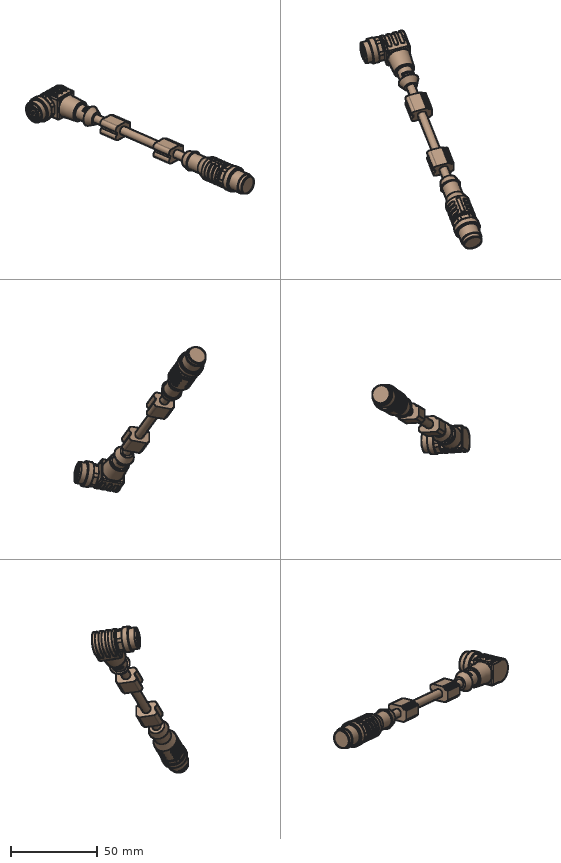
import cadquery as cq
import math


total_length = 157.1
cable_diameter = 5.2

ring_diameter = 15.0
ring_length = 4.0
ring_chamfer = 0.3
hex_across_flats = 13.2
hex_corner_diameter = 14.1
hex_length = 3.0
nut_gap = 1.0
nut_neck_diameter = 8.8

left_end = -ring_diameter / 2
right_end = left_end + total_length

elbow_height = 14.3
elbow_back = 7.0
elbow_front = -7.0
elbow_end = 8.8
elbow_round_chamfer = 0.5
elbow_flat_chamfer = 1.0
elbow_end_chamfer = 0.8
elbow_grip_depth = 0.6
elbow_slot_width = 2.2
elbow_slot_pitch = 4.0
elbow_slot_end = 5.2

socket_sleeve_diameter = 12.7
socket_sleeve_length = 3.6
socket_mouth_diameter = 11.8
socket_step_diameter = 10.5
socket_bore_diameter = 10.2
socket_mouth_depth = 0.5
socket_bore_depth = 1.9
insert_diameter = 8.3
insert_projection = 0.86
insert_chamfer = 0.24
key_diameter = 1.3
contact_diameter = 0.8
centre_contact_diameter = 0.9
contact_circle_diameter = 5.5
contact_depth = 3.1
contact_entry_diameter = 1.3
contact_entry_depth = 0.3
outer_contacts = 7

barrel_end = 19.6
barrel_start_diameter = 13.7
barrel_end_diameter = 12.1
barrel_edge = 0.3
relief_diameter = 9.3
relief_end = 27.2
relief_slot_start = 23.7
relief_slot_width = 1.1
relief_slot_floor = 3.5
flare_diameter = 12.1
flare_lip = 0.2
flare_end = 31.5
flare_end_diameter = 7.7

clip_starts = (40.4, 81.7)
clip_length = 12.1
clip_half_height = 4.7
clip_half_width = 6.3

boot_start = 102.5
boot_start_diameter = 9.5
boot_lip = 106.8
boot_lip_diameter = 12.1
boot_waist_diameter = 10.2
boot_waist_end = 115.0
plug_body_start = 119.7
plug_body_end = 132.3
plug_body_diameter = 14.1
plug_body_chamfer = 0.5
plug_grip_depth = 0.5
plug_slot_width = 2.4
plug_slot_pitch = 3.0
plug_slot_centre = 126.0
plug_slot_tip = 2.5
panel_length = 10.2
panel_width = 2.2
panel_depth = 0.3
plug_sleeve_end = 146.7
plug_sleeve_diameter = 12.3
plug_nose_diameter = 11.0
plug_tip_length = 0.6
plug_tip_diameter = 10.5


def tapered(start, end, start_diameter, end_diameter):
    """Round section along X between two stations."""
    outline = [(start, 0), (start, start_diameter / 2), (end, end_diameter / 2), (end, 0)]
    return cq.Workplane("XY").polyline(outline).close().revolve(360, (0, 0, 0), (1, 0, 0))


def straight(start, end, diameter):
    return tapered(start, end, diameter, diameter)


def coupling_nut():
    """Neck, rounded hexagon and ring on +Z, with two hexagon flats facing +X and -X."""
    neck = cq.Workplane("XY").circle(nut_neck_diameter / 2).extrude(nut_gap)
    corner_to_corner = hex_across_flats / math.cos(math.pi / 6)
    hexagon = cq.Workplane("XY").polygon(6, corner_to_corner).extrude(hex_length)
    hexagon = hexagon.rotate((0, 0, 0), (0, 0, 1), 30)
    hexagon = hexagon.intersect(cq.Workplane("XY").circle(hex_corner_diameter / 2).extrude(hex_length))
    ring = cq.Workplane("XY").circle(ring_diameter / 2).extrude(ring_length)
    ring = ring.faces("<Z or >Z").chamfer(ring_chamfer)
    nut = neck.union(hexagon.translate((0, 0, nut_gap)))
    return nut.union(ring.translate((0, 0, nut_gap + hex_length)))


nut_length = nut_gap + hex_length + ring_length


def elbow_block(inset):
    """Elbow with a half-round left side; the inset shrinks it on its round and flat sides."""
    radius = elbow_height / 2 - inset
    width = elbow_back - elbow_front
    start = cq.Workplane("XZ", origin=(0, elbow_back, 0))
    drum = start.circle(radius).extrude(width).faces("<Y or >Y").chamfer(elbow_round_chamfer)
    box = start.center(elbow_end / 2, 0).rect(elbow_end, 2 * radius).extrude(width)
    box = box.faces("<Y or >Y").edges("|X").chamfer(elbow_flat_chamfer)
    box = box.faces(">X").chamfer(elbow_end_chamfer)
    return drum.union(box)


def elbow_grips():
    """Three shallow slots that wrap around the left side from top to bottom."""
    slot_start = -elbow_height
    slot_length = elbow_slot_end - slot_start
    slot_middle = (slot_start + elbow_slot_end) / 2
    slots = (
        cq.Workplane("XY", origin=(0, 0, -elbow_height))
        .pushPoints([(slot_middle, step * elbow_slot_pitch) for step in (-1, 0, 1)])
        .slot2D(slot_length, elbow_slot_width)
        .extrude(2 * elbow_height)
    )
    return slots.cut(elbow_block(elbow_grip_depth))


def socket_port():
    """Coupling nut, threaded sleeve and contact insert, built on +Z from the elbow face."""
    sleeve_end = nut_length + socket_sleeve_length
    insert_end = sleeve_end + insert_projection
    port = coupling_nut()
    sleeve = cq.Workplane("XY", origin=(0, 0, nut_length)).circle(socket_sleeve_diameter / 2)
    port = port.union(sleeve.extrude(socket_sleeve_length))
    mouth = [
        (0, sleeve_end),
        (socket_mouth_diameter / 2, sleeve_end),
        (socket_step_diameter / 2, sleeve_end - socket_mouth_depth),
        (socket_bore_diameter / 2, sleeve_end - socket_mouth_depth),
        (insert_diameter / 2, sleeve_end - socket_bore_depth),
        (0, sleeve_end - socket_bore_depth),
    ]
    port = port.cut(cq.Workplane("XZ").polyline(mouth).close().revolve(360, (0, 0, 0), (0, 1, 0)))
    insert_base = sleeve_end - socket_bore_depth
    insert = cq.Workplane("XY", origin=(0, 0, insert_base)).circle(insert_diameter / 2)
    insert = insert.extrude(insert_end - insert_base).faces(">Z").chamfer(insert_chamfer)
    port = port.union(insert)

    face = cq.Workplane("XY", origin=(0, 0, insert_end))
    outer = face.polarArray(contact_circle_diameter / 2, 90, 360, outer_contacts)
    for places, diameter in ((outer, contact_diameter), (face, centre_contact_diameter)):
        port = port.cut(places.circle(diameter / 2).extrude(-contact_depth))
        port = port.cut(places.circle(contact_entry_diameter / 2).extrude(-contact_entry_depth))
    key_angle = math.pi / 2 - 2 * math.pi / outer_contacts
    key_radius = insert_diameter / 2
    key = face.center(key_radius * math.cos(key_angle), key_radius * math.sin(key_angle))
    return port.cut(key.circle(key_diameter / 2).extrude(insert_base - insert_end))


def strain_relief():
    """Tapered barrel, slotted neck and cable flare behind the elbow."""
    barrel = tapered(elbow_end, barrel_end, barrel_start_diameter, barrel_end_diameter)
    barrel = barrel.faces(">X").chamfer(barrel_edge)
    neck = straight(barrel_end, relief_end, relief_diameter)
    slot = cq.Workplane("XY").box(
        relief_slot_width, relief_diameter, relief_diameter, centered=(False, True, False)
    )
    slot = slot.translate((relief_slot_start, 0, relief_slot_floor))
    neck = neck.cut(slot).cut(slot.mirror("XY"))
    lip_end = relief_end + flare_lip
    flare = straight(relief_end, lip_end, flare_diameter)
    flare = flare.union(tapered(lip_end, flare_end, flare_diameter, flare_end_diameter))
    return barrel.union(neck).union(flare)


def label_clip(start):
    """Clip around the cable: flat top, two round lobes at -Y and a stepped hook at +Y."""
    top = clip_half_height
    side = clip_half_width
    lobe_top_edge = -4.2
    lobe_bottom_edge = -4.5
    pinch = (-4.9, 0.5)
    lip = (-5.2, -0.8)
    upper_bulge = (-side, 2.5)
    lower_bulge = (-side, -2.5)
    hook = [(side, -3.0), (side, 2.7), (5.3, 3.5), (4.9, 2.8), (4.1, 3.6), (3.8, 4.2), (2.8, top)]
    return (
        cq.Workplane("YZ", origin=(start, 0, 0))
        .moveTo(lobe_top_edge, top)
        .threePointArc(upper_bulge, pinch)
        .lineTo(*lip)
        .threePointArc(lower_bulge, (lobe_bottom_edge, -top))
        .lineTo(-lobe_bottom_edge, -top)
        .polyline(hook, includeCurrent=True)
        .close()
        .extrude(clip_length)
    )


def plug_boot():
    """Flared cable entry, waist and cone leading up to the plug body."""
    entry = tapered(boot_start, boot_lip, boot_start_diameter, boot_lip_diameter)
    waist = straight(boot_lip, boot_waist_end, boot_waist_diameter)
    cone = tapered(boot_waist_end, plug_body_start, boot_waist_diameter, plug_body_diameter)
    return entry.union(waist).union(cone)


def plug_body():
    """Round grip with three shallow slots on each side and a sunk panel on top."""
    body = straight(plug_body_start, plug_body_end, plug_body_diameter)
    body = body.faces(">X").chamfer(plug_body_chamfer)

    slot_reach = plug_body_diameter
    slot_length = slot_reach - plug_slot_tip
    slot_middle = (slot_reach + plug_slot_tip) / 2
    places = []
    for side in (-1, 1):
        for step in (-1, 0, 1):
            places.append((plug_slot_centre + step * plug_slot_pitch, side * slot_middle))
    slots = (
        cq.Workplane("XY", origin=(0, 0, -plug_body_diameter))
        .pushPoints(places)
        .slot2D(slot_length, plug_slot_width, 90)
        .extrude(2 * plug_body_diameter)
    )
    core = straight(plug_body_start, plug_body_end, plug_body_diameter - 2 * plug_grip_depth)
    panel_floor = plug_body_diameter / 2 - panel_depth
    panel = cq.Workplane("XY", origin=(plug_slot_centre, 0, panel_floor))
    panel = panel.rect(panel_length, panel_width).extrude(plug_body_diameter)
    return body.cut(slots.cut(core)).cut(panel)


def plug_front():
    """Coupling nut, threaded sleeve and nose of the plug."""
    nut = coupling_nut().rotate((0, 0, 0), (0, 1, 0), 90).translate((plug_body_end, 0, 0))
    sleeve = straight(plug_body_end + nut_length, plug_sleeve_end, plug_sleeve_diameter)
    tip_start = right_end - plug_tip_length
    nose = straight(plug_sleeve_end, tip_start, plug_nose_diameter)
    tip = straight(tip_start, right_end, plug_tip_diameter)
    return nut.union(sleeve).union(nose).union(tip)


elbow = elbow_block(0).cut(elbow_grips())
port_on_elbow = socket_port().rotate((0, 0, 0), (1, 0, 0), 90).translate((0, elbow_front, 0))

result = straight(0, plug_body_end, cable_diameter)
result = result.union(elbow).union(port_on_elbow).union(strain_relief())
for clip_start in clip_starts:
    result = result.union(label_clip(clip_start))
result = result.union(plug_boot()).union(plug_body()).union(plug_front())